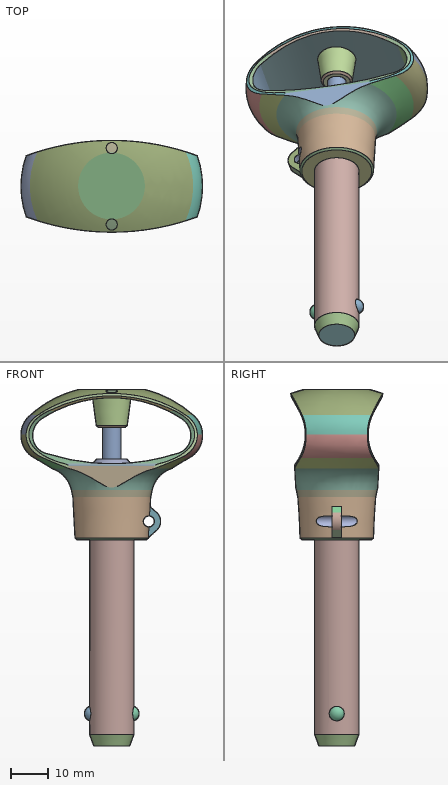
import cadquery as cq
import math

SHANK_RADIUS = 6.0
TIP_RADIUS = 4.85
TIP_LENGTH = 3.1
BALL_RADIUS = 2.05
BALL_REACH = 7.4
BALL_HEIGHT = 8.75

DRAFT = math.tan(math.radians(3.0))
COLLAR_BOTTOM = 55.6
COLLAR_BOTTOM_RADIUS = 9.92
COLLAR_CHAMFER = 0.5
COLLAR_TOP = 67.0

LUG_RADIUS = 3.2
LUG_HOLE_RADIUS = 1.45
LUG_X = 10.0
LUG_Z = 60.55
LUG_THICKNESS = 2.5
LUG_ROOT_HALF_HEIGHT = 4.3

TOTAL_HEIGHT = 96.1
TOP_FLAT_RADIUS = 9.0
HANDLE_RADIUS = 24.5
DOME_MIDDLE = (16.0, 93.4)
SHOULDER = (22.0, 89.2)
UPPER_RIM_MIDDLE = (23.8, 86.9)
WIDEST_HEIGHT = 83.85
LOWER_RIM_MIDDLE = (23.7, 80.5)
RIM_BOTTOM = (20.8, 77.6)
NECK_TOP = (16.2, 74.8)
NECK_BOTTOM = (10.9, 68.9)

HANDLE_DEPTH = 24.8
PLAN_ARC_RADIUS = 66.0
CROWN_EDGE_HEIGHT = 94.4
WAIST_HALF_DEPTH = 8.5
FLANK_ARC_RADIUS = 13.0
FLANK_SLOPE = math.radians(28.8)
SKIRT_HALF_DEPTH = 11.4
SKIRT_EDGE_RADIUS = 1.1

OPENING_TOP = 93.85
FLOOR_HEIGHT = 76.1
FLOOR_CORNER = (17.3, 78.8)
LOWER_END_MIDDLE = (20.1, 80.4)
OPENING_WIDEST = (21.25, 83.1)
UPPER_END_MIDDLE = (20.8, 85.9)
CEILING_CORNER = (19.0, 88.1)

PIN_RADIUS = 1.5
PIN_OFFSET = 10.3
PIN_RECESS = 0.1

BUTTON_TOP_RADIUS = 5.2
BUTTON_BOTTOM_RADIUS = 4.2
BUTTON_BOTTOM = 85.85
BUTTON_CHAMFER = 0.55
ROD_RADIUS = 2.55
SEAT_BASE_RADIUS = 5.2
SEAT_TOP_RADIUS = 4.1
SEAT_TOP = 77.4
OVERLAP = 1.0


def collar_radius(z):
    """Radius of the drafted collar at height z."""
    return COLLAR_BOTTOM_RADIUS + DRAFT * (z - COLLAR_BOTTOM)


def revolve_z(profile):
    """Turn a profile drawn in (radius, height) around the Z axis."""
    return profile.close().revolve(360, (0, 0, 0), (0, 1, 0))


def make_shank():
    shank = revolve_z(
        cq.Workplane("XZ")
        .lineTo(TIP_RADIUS, 0)
        .lineTo(SHANK_RADIUS, TIP_LENGTH)
        .lineTo(SHANK_RADIUS, COLLAR_BOTTOM + OVERLAP)
        .lineTo(0, COLLAR_BOTTOM + OVERLAP)
    )
    for side in (-1, 1):
        center = (side * (BALL_REACH - BALL_RADIUS), 0, BALL_HEIGHT)
        shank = shank.union(cq.Workplane("XY").sphere(BALL_RADIUS).translate(center))
    return shank


def make_collar():
    chamfer_top = COLLAR_BOTTOM + COLLAR_CHAMFER
    return revolve_z(
        cq.Workplane("XZ")
        .moveTo(0, COLLAR_BOTTOM)
        .lineTo(COLLAR_BOTTOM_RADIUS - COLLAR_CHAMFER, COLLAR_BOTTOM)
        .lineTo(collar_radius(chamfer_top), chamfer_top)
        .lineTo(collar_radius(COLLAR_TOP), COLLAR_TOP)
        .lineTo(0, COLLAR_TOP)
    )


def make_lug():
    """Round-nosed plate whose sloping sides are tangent to the nose."""
    nose_angle = math.asin(LUG_RADIUS / LUG_ROOT_HALF_HEIGHT)
    tangent_x = LUG_X + LUG_RADIUS * math.cos(nose_angle)
    tangent_dz = LUG_RADIUS * math.sin(nose_angle)
    return (
        cq.Workplane("XZ")
        .moveTo(SHANK_RADIUS, LUG_Z - LUG_ROOT_HALF_HEIGHT)
        .lineTo(LUG_X, LUG_Z - LUG_ROOT_HALF_HEIGHT)
        .lineTo(tangent_x, LUG_Z - tangent_dz)
        .threePointArc((LUG_X + LUG_RADIUS, LUG_Z), (tangent_x, LUG_Z + tangent_dz))
        .lineTo(LUG_X, LUG_Z + LUG_ROOT_HALF_HEIGHT)
        .lineTo(SHANK_RADIUS, LUG_Z + LUG_ROOT_HALF_HEIGHT)
        .close()
        .extrude(LUG_THICKNESS / 2, both=True)
    )


def make_lug_hole():
    """Cylinder through the lug and the collar wall, along Y."""
    return (
        cq.Workplane("XZ", origin=(LUG_X, HANDLE_DEPTH / 2, LUG_Z))
        .circle(LUG_HOLE_RADIUS)
        .extrude(HANDLE_DEPTH)
    )


def make_turned_handle():
    """Concave neck, straight underside, rounded rim and domed head."""
    return revolve_z(
        cq.Workplane("XZ")
        .moveTo(0, COLLAR_TOP)
        .lineTo(collar_radius(COLLAR_TOP), COLLAR_TOP)
        .lineTo(*NECK_BOTTOM)
        .tangentArcPoint(NECK_TOP, relative=False)
        .lineTo(*RIM_BOTTOM)
        .threePointArc(LOWER_RIM_MIDDLE, (HANDLE_RADIUS, WIDEST_HEIGHT))
        .threePointArc(UPPER_RIM_MIDDLE, SHOULDER)
        .threePointArc(DOME_MIDDLE, (TOP_FLAT_RADIUS, TOTAL_HEIGHT))
        .lineTo(0, TOTAL_HEIGHT)
    )


def make_flank_envelope():
    """Prism along X whose outline gives the handle its waisted depth."""
    half_depth = HANDLE_DEPTH / 2
    arc_end_y = WAIST_HALF_DEPTH + FLANK_ARC_RADIUS * (1 - math.cos(FLANK_SLOPE))
    arc_end_z = CROWN_EDGE_HEIGHT - (half_depth - arc_end_y) / math.tan(FLANK_SLOPE)
    waist_z = arc_end_z - FLANK_ARC_RADIUS * math.sin(FLANK_SLOPE)
    skirt_angle = math.acos(1 - (SKIRT_HALF_DEPTH - WAIST_HALF_DEPTH) / FLANK_ARC_RADIUS)
    skirt_top = waist_z - FLANK_ARC_RADIUS * math.sin(skirt_angle)
    skirt_bottom_y = SKIRT_HALF_DEPTH - DRAFT * (skirt_top - COLLAR_TOP)
    crown_y = half_depth + (TOTAL_HEIGHT - CROWN_EDGE_HEIGHT) * math.tan(FLANK_SLOPE)
    half = (
        cq.Workplane("YZ")
        .moveTo(0, COLLAR_TOP)
        .lineTo(skirt_bottom_y, COLLAR_TOP)
        .lineTo(SKIRT_HALF_DEPTH, skirt_top)
        .threePointArc((WAIST_HALF_DEPTH, waist_z), (arc_end_y, arc_end_z))
        .lineTo(crown_y, TOTAL_HEIGHT)
        .lineTo(0, TOTAL_HEIGHT)
        .close()
        .extrude(HANDLE_RADIUS + OVERLAP, both=True)
    )
    skirt_edge = cq.selectors.NearestToPointSelector((0, SKIRT_HALF_DEPTH, skirt_top))
    half = half.edges("|X").edges(skirt_edge).fillet(SKIRT_EDGE_RADIUS)
    return half.union(half.mirror("XZ"))


def mirrored(point):
    """The same (x, z) point on the -X side."""
    return (-point[0], point[1])


def make_opening():
    """Lens-shaped finger opening running through the handle along Y."""
    return (
        cq.Workplane("XZ")
        .moveTo(*mirrored(FLOOR_CORNER))
        .threePointArc((0, FLOOR_HEIGHT), FLOOR_CORNER)
        .threePointArc(LOWER_END_MIDDLE, OPENING_WIDEST)
        .threePointArc(UPPER_END_MIDDLE, CEILING_CORNER)
        .threePointArc((0, OPENING_TOP), mirrored(CEILING_CORNER))
        .threePointArc(mirrored(UPPER_END_MIDDLE), mirrored(OPENING_WIDEST))
        .threePointArc(mirrored(LOWER_END_MIDDLE), mirrored(FLOOR_CORNER))
        .close()
        .extrude(HANDLE_DEPTH, both=True)
    )


def make_plan_envelope():
    """Upright prism bounding the handle in plan by two shallow arcs."""
    half_length = HANDLE_RADIUS + OVERLAP
    half_depth = HANDLE_DEPTH / 2
    end_y = half_depth - PLAN_ARC_RADIUS + math.sqrt(PLAN_ARC_RADIUS**2 - half_length**2)
    return (
        cq.Workplane("XY", origin=(0, 0, COLLAR_TOP))
        .moveTo(-half_length, end_y)
        .threePointArc((0, half_depth), (half_length, end_y))
        .lineTo(half_length, -end_y)
        .threePointArc((0, -half_depth), (-half_length, -end_y))
        .close()
        .extrude(TOTAL_HEIGHT - COLLAR_TOP)
    )


def make_handle():
    turned = make_turned_handle()
    handle = turned.intersect(make_plan_envelope())
    handle = handle.intersect(make_flank_envelope()).cut(make_opening())
    pins = (
        cq.Workplane("XY", origin=(0, 0, OPENING_TOP))
        .pushPoints([(0, -PIN_OFFSET), (0, PIN_OFFSET)])
        .circle(PIN_RADIUS)
        .extrude(TOTAL_HEIGHT - OPENING_TOP + OVERLAP)
    )
    return handle.cut(pins.cut(turned.translate((0, 0, -PIN_RECESS))))


def make_plunger():
    """Tapered button hanging from the crown, its rod and the floor seat."""
    chamfer_top = BUTTON_BOTTOM + BUTTON_CHAMFER
    return revolve_z(
        cq.Workplane("XZ")
        .moveTo(0, FLOOR_HEIGHT - OVERLAP)
        .lineTo(SEAT_BASE_RADIUS, FLOOR_HEIGHT - OVERLAP)
        .lineTo(SEAT_BASE_RADIUS, FLOOR_HEIGHT)
        .lineTo(SEAT_TOP_RADIUS, SEAT_TOP)
        .lineTo(ROD_RADIUS, SEAT_TOP)
        .lineTo(ROD_RADIUS, BUTTON_BOTTOM)
        .lineTo(BUTTON_BOTTOM_RADIUS - BUTTON_CHAMFER, BUTTON_BOTTOM)
        .lineTo(BUTTON_BOTTOM_RADIUS, chamfer_top)
        .lineTo(BUTTON_TOP_RADIUS, OPENING_TOP)
        .lineTo(BUTTON_TOP_RADIUS, OPENING_TOP + OVERLAP)
        .lineTo(0, OPENING_TOP + OVERLAP)
    )


result = make_shank().union(make_collar()).union(make_handle()).union(make_plunger())
result = result.union(make_lug()).cut(make_lug_hole())